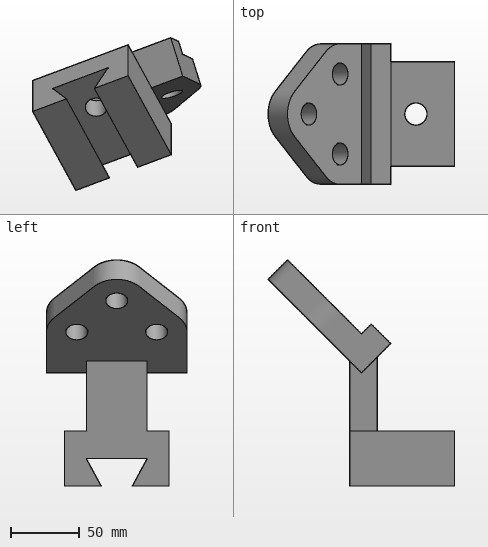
import cadquery as cq
import math

base_length = 76.0
base_height = 40.0
slot_top_width = 44.0
slot_mouth_width = 22.3

thickness = 20.0
hole_diameter = 16.0

total_height = 164.2
plate_tilt = 45.0
plate_width = 102.0
plate_length = 96.0
corner_radius = 22.0
hole_row_spacing = 32.0
lip_rise = 10.0
low_edge_x = 8.5

tilt_cos = math.cos(math.radians(plate_tilt))
tilt_sin = math.sin(math.radians(plate_tilt))
tilt_tan = math.tan(math.radians(plate_tilt))
low_edge_z = total_height - plate_length * tilt_sin - thickness * tilt_cos

apex_u = plate_length - corner_radius
side_u = apex_u - hole_row_spacing
side_v = plate_width / 2 - corner_radius
plate_hole_centers = [(apex_u, 0), (side_u, side_v), (side_u, -side_v)]

plate_plane = cq.Plane(
    origin=(low_edge_x, 0, low_edge_z),
    xDir=(-tilt_cos, 0, tilt_sin),
    normal=(tilt_sin, 0, tilt_cos),
)


def make_base():
    block = cq.Workplane("XY").box(
        base_length, base_length, base_height, centered=(False, True, False)
    )
    slot = (
        cq.Workplane("YZ")
        .polyline([
            (-slot_mouth_width / 2, 0),
            (slot_mouth_width / 2, 0),
            (slot_top_width / 2, thickness),
            (-slot_top_width / 2, thickness),
        ])
        .close()
        .extrude(base_length)
    )
    bolt_hole = (
        cq.Workplane("XY")
        .center((thickness + base_length) / 2, 0)
        .circle(hole_diameter / 2)
        .extrude(base_height)
    )
    return block.cut(slot).cut(bolt_hole)


def make_stem():
    left_z = low_edge_z + low_edge_x * tilt_tan
    right_z = low_edge_z + (thickness - low_edge_x) / tilt_tan
    return (
        cq.Workplane("XZ")
        .polyline([
            (0, base_height),
            (thickness, base_height),
            (thickness, right_z),
            (low_edge_x, low_edge_z),
            (0, left_z),
        ])
        .close()
        .extrude(slot_top_width / 2, both=True)
    )


def make_plate():
    edge_angle = math.atan2(hole_row_spacing, side_v)
    side_mid_angle = (edge_angle + math.pi / 2) / 2

    def on_arc(center_u, center_v, angle):
        return (
            center_u + corner_radius * math.cos(angle),
            center_v + corner_radius * math.sin(angle),
        )

    plate = (
        cq.Workplane(plate_plane)
        .moveTo(0, -plate_width / 2)
        .lineTo(side_u, -plate_width / 2)
        .threePointArc(on_arc(side_u, -side_v, -side_mid_angle), on_arc(side_u, -side_v, -edge_angle))
        .lineTo(*on_arc(apex_u, 0, -edge_angle))
        .threePointArc((plate_length, 0), on_arc(apex_u, 0, edge_angle))
        .lineTo(*on_arc(side_u, side_v, edge_angle))
        .threePointArc(on_arc(side_u, side_v, side_mid_angle), (side_u, plate_width / 2))
        .lineTo(0, plate_width / 2)
        .close()
        .extrude(thickness)
    )
    holes = (
        cq.Workplane(plate_plane)
        .pushPoints(plate_hole_centers)
        .circle(hole_diameter / 2)
        .extrude(thickness)
    )
    lip = cq.Workplane(plate_plane).box(
        thickness, plate_width, thickness + lip_rise, centered=(False, True, False)
    )
    return plate.cut(holes).union(lip)


result = make_base().union(make_stem()).union(make_plate())